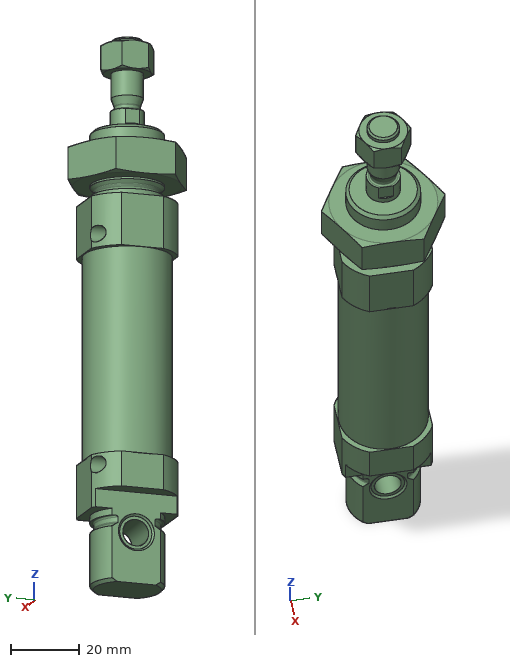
import cadquery as cq
import math


undercut_fillet = 0.5

eye_hole_height = 15.5
eye_top = 16.8
rear_groove_top = 20.1
rear_cap_bottom = 22.1
eye_flat_top = 27.6
rear_cap_top = 38.2
front_cap_bottom = 100.9
front_cap_top = 116.8
front_groove_bottom = 119.0
front_groove_top = 122.0
mount_nut_bottom = 122.6
neck_top = 138.9
rod_flat_bottom = 140.6
rod_shoulder = 145.1
rod_undercut_top = 146.6
rod_thread_start = 149.1
rod_nut_bottom = 156.7
rod_top = 166.9

barrel_diameter = 26.5
cap_width = 27.0
cap_corner_diameter = 30.0
neck_diameter = 22.0
groove_diameter = 19.7
neck_chamfer = 1.0
groove_slope = (neck_diameter - groove_diameter) / 2
eye_thickness = 16.0
eye_hole_diameter = 8.0
eye_hole_rim_diameter = 11.2
eye_hole_step_diameter = 10.0
eye_hole_chamfer = (eye_hole_rim_diameter - eye_hole_step_diameter) / 2
port_diameter = 5.0
port_offset = -8.3
port_depth = 5.0
port_heights = (34.9, 105.0)

rod_diameter = 10.0
rod_thread_diameter = 9.53
rod_undercut_diameter = 7.7
rod_flat_width = 9.0
rod_chamfer = 0.6
rod_bore_bottom = front_cap_top

mount_nut_chamfer_angle = 12.0
rod_nut_chamfer_angle = 30.0
mount_nut_width = 32.0
mount_nut_height = 10.8
rod_nut_width = 14.3
rod_nut_height = 8.5


def cylinder(diameter, bottom, top):
    return cq.Workplane("XY").workplane(offset=bottom).circle(diameter / 2).extrude(top - bottom)


def revolved(outline):
    """Turns a closed outline of (radius, height) points around the Z axis."""
    return cq.Workplane("XZ").polyline(outline).close().revolve(360, (0, 0), (0, 1))


def round_undercut(turned):
    """Fillets both ends of the undercut floor, the smallest circles on a turned part."""
    return turned.edges(cq.selectors.RadiusNthSelector(0)).fillet(undercut_fillet)


def side_cuts(width, bottom, top):
    """Two blocks that leave flats `width` apart, facing -X and +X, between two heights."""
    reach = cap_corner_diameter
    block = cq.Workplane("XY").box(reach, 2 * reach, top - bottom, centered=(False, True, False))
    right = block.translate((width / 2, 0, bottom))
    return right.union(right.mirror("YZ"))


def end_cap(bottom, top):
    """Round cap with four flats."""
    square = (
        cq.Workplane("XY").workplane(offset=bottom)
        .rect(cap_width, cap_width).extrude(top - bottom)
    )
    return cylinder(cap_corner_diameter, bottom, top).intersect(square)


def swivel_eye():
    """Round eye below the rear cap, with a relief groove next to the cap."""
    radius = neck_diameter / 2
    groove_radius = groove_diameter / 2
    eye = revolved([
        (0, 0),
        (radius - neck_chamfer, 0),
        (radius, neck_chamfer),
        (radius, eye_top),
        (groove_radius, eye_top + groove_slope),
        (groove_radius, rear_groove_top),
        (radius, rear_groove_top),
        (radius, rear_cap_bottom),
        (0, rear_cap_bottom),
    ])
    return round_undercut(eye)


def front_neck():
    """Threaded neck that carries the mounting nut, with a relief groove above the cap."""
    radius = neck_diameter / 2
    groove_radius = groove_diameter / 2
    neck = revolved([
        (0, front_cap_top),
        (radius, front_cap_top),
        (radius, front_groove_bottom),
        (groove_radius, front_groove_bottom + groove_slope),
        (groove_radius, front_groove_top - groove_slope),
        (radius, front_groove_top),
        (radius, neck_top - neck_chamfer),
        (radius - neck_chamfer, neck_top),
        (0, neck_top),
    ])
    return round_undercut(neck)


def eye_hole():
    """Pivot hole along X, with a chamfered rim and a flat step at both ends."""
    half = eye_thickness / 2
    radius = eye_hole_diameter / 2
    step_radius = eye_hole_step_diameter / 2
    rim = eye_hole_rim_diameter / 2
    outline = [
        (0, -half),
        (rim, -half),
        (step_radius, -half + eye_hole_chamfer),
        (radius, -half + eye_hole_chamfer),
        (radius, half - eye_hole_chamfer),
        (step_radius, half - eye_hole_chamfer),
        (rim, half),
        (0, half),
    ]
    upright = revolved(outline)
    return upright.rotate((0, 0, 0), (0, 1, 0), 90).translate((0, 0, eye_hole_height))


def port(height):
    """Blind air port along Y, beside the middle of the +Y flat."""
    start = cq.Vector(port_offset, cap_width / 2 - port_depth, height)
    return cq.Workplane(cq.Solid.makeCylinder(port_diameter / 2, port_depth, start, cq.Vector(0, 1, 0)))


def make_housing():
    body = (
        swivel_eye()
        .union(end_cap(rear_cap_bottom, rear_cap_top))
        .union(cylinder(barrel_diameter, rear_cap_top, front_cap_bottom))
        .union(end_cap(front_cap_bottom, front_cap_top))
        .union(front_neck())
    )
    body = body.cut(side_cuts(eye_thickness, 0, eye_flat_top)).cut(eye_hole())
    for height in port_heights:
        body = body.cut(port(height))
    return body.cut(cylinder(rod_diameter, rod_bore_bottom, neck_top))


def make_piston_rod():
    radius = rod_diameter / 2
    thread_radius = rod_thread_diameter / 2
    undercut_radius = rod_undercut_diameter / 2
    rod = revolved([
        (0, rod_bore_bottom),
        (radius, rod_bore_bottom),
        (radius, rod_shoulder),
        (undercut_radius, rod_shoulder),
        (undercut_radius, rod_undercut_top),
        (thread_radius, rod_thread_start),
        (thread_radius, rod_top - rod_chamfer),
        (thread_radius - rod_chamfer, rod_top),
        (0, rod_top),
    ])
    return round_undercut(rod).cut(side_cuts(rod_flat_width, rod_flat_bottom, rod_shoulder))


def hex_nut(width, height, bottom, bore_diameter, chamfer_angle):
    """Hexagon nut with flats facing -X and +X and its corners chamfered at both ends."""
    corner_radius = width / math.sqrt(3)
    face_radius = width / 2
    drop = (corner_radius - face_radius) * math.tan(math.radians(chamfer_angle))
    top = bottom + height
    prism = (
        cq.Workplane("XY").workplane(offset=bottom)
        .polygon(6, 2 * corner_radius).extrude(height)
        .rotate((0, 0, 0), (0, 0, 1), 30)
    )
    envelope = revolved([
        (0, bottom),
        (face_radius, bottom),
        (corner_radius, bottom + drop),
        (corner_radius, top - drop),
        (face_radius, top),
        (0, top),
    ])
    return prism.intersect(envelope).cut(cylinder(bore_diameter, bottom, top))


housing = make_housing()
piston_rod = make_piston_rod()
mount_nut = hex_nut(
    mount_nut_width, mount_nut_height, mount_nut_bottom, neck_diameter, mount_nut_chamfer_angle
)
rod_nut = hex_nut(
    rod_nut_width, rod_nut_height, rod_nut_bottom, rod_thread_diameter, rod_nut_chamfer_angle
)

result = cq.Compound.makeCompound([
    housing.val(),
    piston_rod.val(),
    mount_nut.val(),
    rod_nut.val(),
])